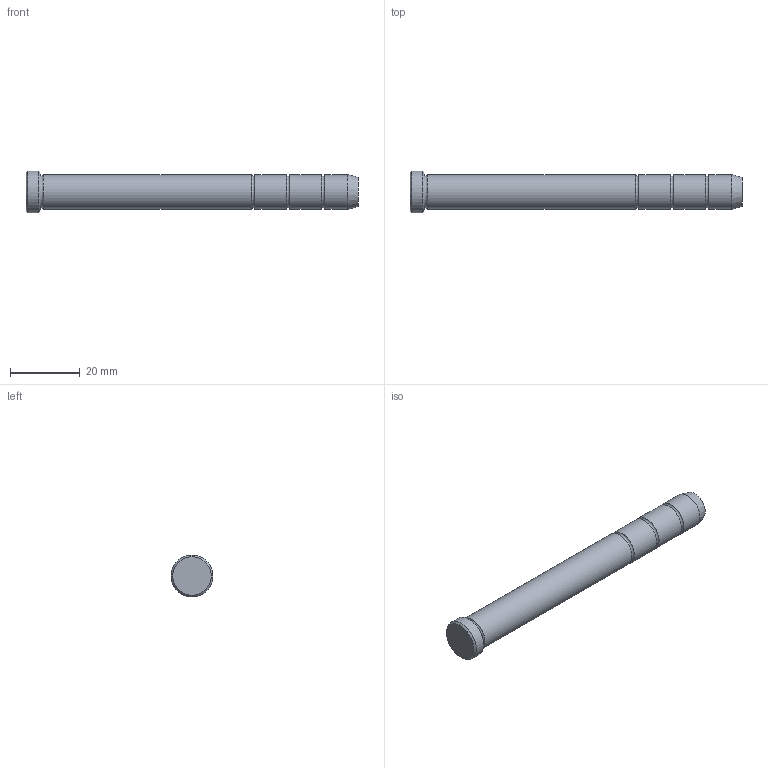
import cadquery as cq
import math

pin_length = 95.0
shank_radius = 5.0

head_radius = 6.0
head_length = 4.0
head_chamfer = 0.5

groove_radius = 0.5
neck_groove_center = head_length + groove_radius
first_tip_groove_center = 65.0
tip_groove_spacing = 10.0
tip_groove_count = 3

tip_length = 3.0
tip_angle = 15.0
tip_end_radius = shank_radius - tip_length * math.tan(math.radians(tip_angle))


def make_head():
    """Head disc with both rims chamfered."""
    disc = cq.Workplane("YZ").circle(head_radius).extrude(head_length)
    return disc.edges().chamfer(head_chamfer)


def make_shank():
    """Straight shank ending in a conical tip."""
    profile = (
        cq.Workplane("XZ")
        .moveTo(0, 0)
        .lineTo(0, shank_radius)
        .lineTo(pin_length - tip_length, shank_radius)
        .lineTo(pin_length, tip_end_radius)
        .lineTo(pin_length, 0)
        .close()
    )
    return profile.revolve(360, (0, 0, 0), (1, 0, 0))


def make_groove_cutter(center):
    """Ring of round section that cuts a half-round groove at X = center."""
    section = cq.Workplane("XZ").center(center, shank_radius).circle(groove_radius)
    return section.revolve(360, (-center, -shank_radius, 0), (1 - center, -shank_radius, 0))


tip_groove_centers = [
    first_tip_groove_center + i * tip_groove_spacing for i in range(tip_groove_count)
]

result = make_shank().union(make_head())
for groove_center in [neck_groove_center] + tip_groove_centers:
    result = result.cut(make_groove_cutter(groove_center))